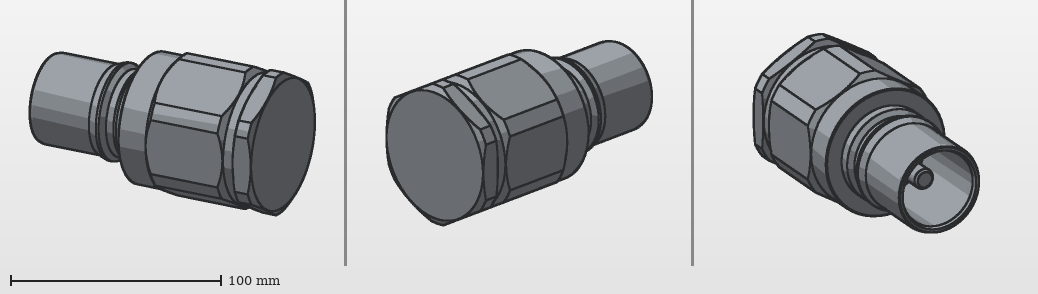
import cadquery as cq
import math

length = 125.2

sleeve_radius = 44.5 / 2
sleeve_rim_radius = 42.8 / 2
rim_edge_depth = 0.5
rim_edge_radius = 21.8
rim_chamfer_end = 2.0
ridge_radius = 47.8 / 2
ridge_foot = 32.4
ridge_start = 37.1
ridge_end = 38.6
groove_radius = 21.4
groove_start = 41.2
groove_end = 45.2
shoulder_start = 47.8

collar_radius = 64.5 / 2
collar_start = 53.3
collar_chamfer = 0.5

across_flats = 65.0
body_hex_start = 68.3
body_hex_end = 110.1
body_corner_radius = 35.3
body_chamfer = 2.9
nut_start = 115.2
nut_corner_radius = 71.0 / 2
nut_front_chamfer = 1.3
nut_back_chamfer = 1.8

bore_radius = 38.2 / 2
bore_mouth_radius = 39.8 / 2
bore_mouth_depth = 2.0
bore_depth = 50.1
cone_base_radius = 18.0
cone_tip_radius = 5.6
cone_length = 7.5
pin_radius = 10.0 / 2
pin_tip_radius = 3.9
pin_tip_chamfer = 1.3
pin_start = 14.4


def revolve_about_x(points):
    """Turn an (x, radius) outline around the X axis."""
    return cq.Workplane("XY").polyline(points).close().revolve(360, (0, 0, 0), (1, 0, 0))


def make_turned_body():
    return revolve_about_x([
        (0, 0),
        (0, sleeve_rim_radius),
        (rim_edge_depth, rim_edge_radius),
        (rim_chamfer_end, sleeve_radius),
        (ridge_foot, sleeve_radius),
        (ridge_start, ridge_radius),
        (ridge_end, ridge_radius),
        (groove_start, groove_radius),
        (groove_end, groove_radius),
        (shoulder_start, ridge_radius),
        (collar_start, ridge_radius),
        (collar_start, collar_radius - collar_chamfer),
        (collar_start + collar_chamfer, collar_radius),
        (nut_start, collar_radius),
        (nut_start, 0),
    ])


def make_hexagon(start, end, corner_radius, front_chamfer, back_chamfer):
    """Hexagonal prism along X with its corners turned and chamfered at both ends."""
    across_corners = across_flats / math.cos(math.pi / 6)
    prism = (
        cq.Workplane("YZ")
        .workplane(offset=start)
        .transformed(rotate=(0, 0, 90))
        .polygon(6, across_corners)
        .extrude(end - start)
    )
    turned = revolve_about_x([
        (start, 0),
        (start, collar_radius),
        (start + front_chamfer, corner_radius),
        (end - back_chamfer, corner_radius),
        (end, collar_radius),
        (end, 0),
    ])
    return prism.intersect(turned)


def make_socket_cavity():
    """Bore left open around the central pin and the cone it stands on."""
    return revolve_about_x([
        (0, 0),
        (0, bore_mouth_radius),
        (bore_mouth_depth, bore_radius),
        (bore_depth, bore_radius),
        (bore_depth, cone_base_radius),
        (bore_depth - cone_length, cone_tip_radius),
        (bore_depth - cone_length, pin_radius),
        (pin_start + pin_tip_chamfer, pin_radius),
        (pin_start, pin_tip_radius),
        (pin_start, 0),
    ])


body_hex = make_hexagon(body_hex_start, body_hex_end, body_corner_radius, body_chamfer, body_chamfer)
nut = make_hexagon(nut_start, length, nut_corner_radius, nut_front_chamfer, nut_back_chamfer)

result = make_turned_body().union(body_hex).union(nut).cut(make_socket_cavity())